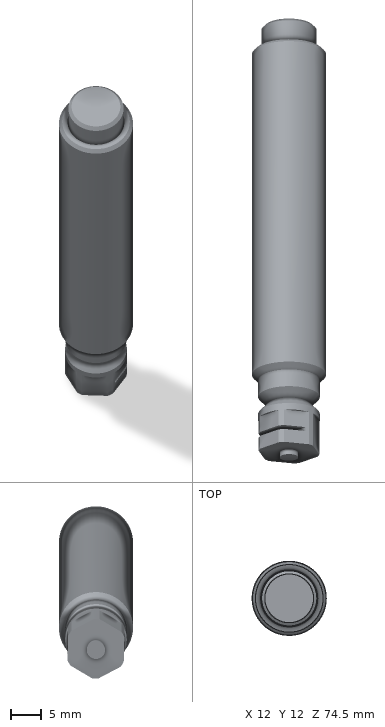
import cadquery as cq
import math

total_length = 74.5
edge_chamfer = 0.5

housing_bottom = 0.8
hex_top = 6.4
collar_top = 7.5
waist_height = 9.0
neck_bottom = 10.4
neck_top = 13.3
barrel_bottom = 14.3
housing_top = 70.3

barrel_radius = 12.0 / 2
neck_radius = 5.0
waist_radius = 3.6

hex_across_flats = 9.1
hex_across_corners = hex_across_flats / math.cos(math.pi / 6)

slot_bottom = 3.05
slot_height = 0.7
slot_floor_y = 1.0

head_radius = 4.5
shaft_radius = 1.5
head_clearance = 0.15
recess_depth = total_length - housing_top
head_bottom = housing_top - recess_depth


def cylinder(radius, bottom, top):
    return cq.Workplane("XY").workplane(offset=bottom).circle(radius).extrude(top - bottom)


def make_turned_housing():
    profile = [
        (0, housing_bottom),
        (neck_radius, housing_bottom),
        (neck_radius, collar_top),
        (waist_radius, waist_height),
        (neck_radius, neck_bottom),
        (neck_radius, neck_top),
        (barrel_radius, barrel_bottom),
        (barrel_radius, housing_top - edge_chamfer),
        (barrel_radius - edge_chamfer, housing_top),
        (0, housing_top),
    ]
    return cq.Workplane("XZ").polyline(profile).close().revolve(360, (0, 0), (0, 1))


def make_flat_cutter():
    """Material outside the hexagon; two of the flats face -Y and +Y."""
    return (
        cq.Workplane("XY")
        .workplane(offset=housing_bottom)
        .circle(barrel_radius)
        .polygon(6, hex_across_corners)
        .extrude(hex_top - housing_bottom)
    )


def make_slot_cutter():
    return (
        cq.Workplane("XY")
        .box(2 * barrel_radius, barrel_radius, slot_height, centered=(True, False, False))
        .translate((0, slot_floor_y, slot_bottom))
    )


def make_housing():
    recess = cylinder(head_radius + head_clearance, head_bottom, housing_top)
    shaft_hole = cylinder(shaft_radius, housing_bottom, head_bottom)
    return (
        make_turned_housing()
        .cut(make_flat_cutter())
        .cut(make_slot_cutter())
        .cut(recess)
        .cut(shaft_hole)
    )


def make_plunger():
    head = cylinder(head_radius, head_bottom, total_length).faces(">Z").chamfer(edge_chamfer)
    shaft = cylinder(shaft_radius, 0, head_bottom)
    return head.union(shaft)


housing = make_housing()
plunger = make_plunger()
result = cq.Compound.makeCompound([housing.solids().val(), plunger.solids().val()])